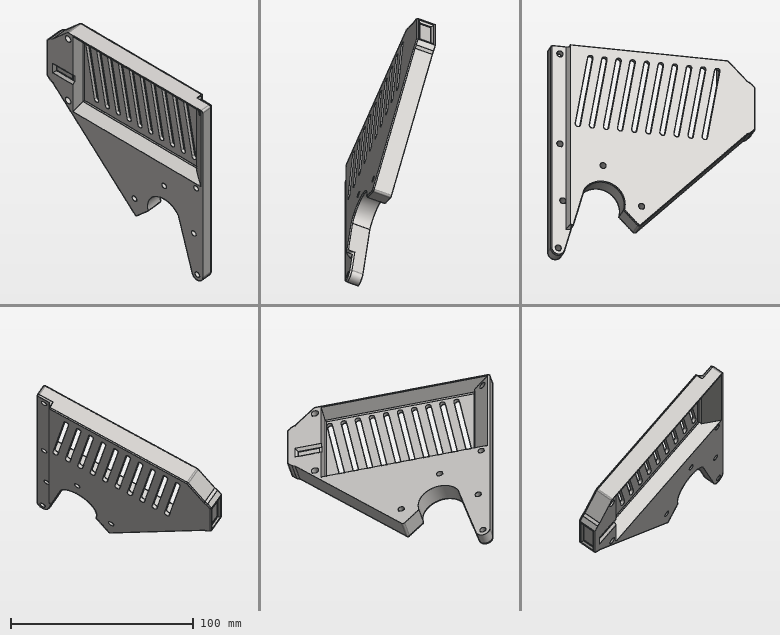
import math

import cadquery as cq


WIDTH = 114.82
HEIGHT = 124.2
THICKNESS = 11.0
X_RIGHT = 28.5
X_LEFT = X_RIGHT - WIDTH
LEG_RADIUS = 4.0
LEG_X = X_RIGHT - LEG_RADIUS
LEG_Z = -28.3
Z_TOP = LEG_Z - LEG_RADIUS + HEIGHT
CORNER_RADIUS = 1.2
FAR = 2 * HEIGHT

NOSE_Z = 65.0
NOSE_FLAT_HALF = 12.55
NOSE_BEVEL = 2.5
NOSE_STEP_X = 1.8
NOSE_STEP_Z = 0.85
NOSE_SHOULDER_X = X_LEFT + NOSE_BEVEL + NOSE_STEP_X
NOSE_BEVEL_HALF = NOSE_FLAT_HALF + NOSE_BEVEL
NOSE_SHOULDER_HALF = NOSE_BEVEL_HALF + NOSE_STEP_Z

MOUTH_RADIUS = 12.2
LEG_EDGE_OFFSET = 11.78
LUG_EDGE_RISE = 8.6
LUG_EDGE_SUM = NOSE_SHOULDER_X + NOSE_Z - NOSE_SHOULDER_HALF
LUG_TIP = ((LUG_EDGE_SUM - LUG_EDGE_RISE) / 2, (LUG_EDGE_SUM + LUG_EDGE_RISE) / 2)
TOP_CORNER = (NOSE_SHOULDER_X + Z_TOP - NOSE_Z - NOSE_SHOULDER_HALF, Z_TOP)

EDGE_INSET = 0.4
BACK_BEVEL = 0.75
THIN_THICKNESS = 7.6
THIN_BEVEL = 1.1
STEP_X = 18.4
STEP_Z = -14.95
STEP_RUN = 1.8

POCKET_X = (-67.2, 27.1)
POCKET_Z = (36.8, 91.0)
POCKET_DEPTH = 8.8
FLOOR_BEVEL = 0.75
FLOOR_BEVEL_DEPTH = 0.6
RAMP_DEPTH = 6.7
RAMP_END_X = 18.0
POCKET_BASE_X = 17.8
POCKET_DRAFT_INSET = 2.1

SLOT_COUNT = 10
SLOT_PITCH = 8.0
SLOT_WIDTH = 3.0
SLOT_HEIGHT = 40.0
SLOT_LEAN = 10.0
FIRST_SLOT_X = -61.33

HOLE_DIAMETER = 3.4
MOUTH_HOLE_OFFSET = 21.85
EDGE_HOLE_X = 23.55
EDGE_HOLE_Z = (33.6, 87.0)
INSERT_X = -70.8
INSERT_OFFSET_Z = 22.25
INSERT_FLOOR_DIAMETER = 2.7
INSERT_MOUTH_DIAMETER = 4.1
INSERT_DEPTH = 6.0

SIDE_X = (-82.2, POCKET_X[0])
SIDE_Z = (56.3, 63.0)
SIDE_BEVEL = 1.5
SIDE_FLOOR_DEPTH = 2.0
SIDE_LEDGE = 1.5

END_Y = (1.05, 9.75)
END_Z = (53.5, 76.2)
END_BEVEL = 1.05
END_FLOOR_DEPTH = 1.6


def front_plane():
    """Work plane on the front face: local x is X, local y is Z, and -Y is outward."""
    return cq.Workplane("XZ")


def shrunk(span, amount):
    """The (low, high) span with both ends moved inward."""
    low, high = span
    return low + amount, high - amount


def loft(points_a, points_b):
    """Straight-sided solid between two polygons given as 3D points."""
    wires = []
    for points in (points_a, points_b):
        wires.append(cq.Wire.makePolygon([cq.Vector(*p) for p in points], close=True))
    return cq.Workplane(cq.Solid.makeLoft(wires, True))


def rectangle(first, second):
    """Corner points of the rectangle spanning two (low, high) ranges."""
    return [(first[0], second[0]), (first[1], second[0]), (first[1], second[1]), (first[0], second[1])]


def frustum_along_y(rect_a, y_a, rect_b, y_b):
    """Solid between two X-Z rectangles, each (x span, z span), at two depths."""
    return loft(
        [(x, y_a, z) for x, z in rectangle(*rect_a)],
        [(x, y_b, z) for x, z in rectangle(*rect_b)],
    )


def frustum_along_x(rect_a, x_a, rect_b, x_b):
    """Solid between two Y-Z rectangles, each (y span, z span), at two X positions."""
    return loft(
        [(x_a, y, z) for y, z in rectangle(*rect_a)],
        [(x_b, y, z) for y, z in rectangle(*rect_b)],
    )


def outline():
    """Closed outer outline on the front face."""
    lug_run = math.sqrt(MOUTH_RADIUS**2 - LUG_EDGE_RISE**2 / 2)
    mouth_left = (
        -LUG_EDGE_RISE / 2 - lug_run / math.sqrt(2),
        LUG_EDGE_RISE / 2 - lug_run / math.sqrt(2),
    )

    leg_distance = math.hypot(LEG_X, LEG_Z)
    leg_direction = math.atan2(LEG_Z, LEG_X)
    edge_angle = leg_direction + math.acos((LEG_EDGE_OFFSET + LEG_RADIUS) / leg_distance)
    leg_tangent = (
        LEG_X - LEG_RADIUS * math.cos(edge_angle),
        LEG_Z - LEG_RADIUS * math.sin(edge_angle),
    )
    right_angle = edge_angle + math.acos(LEG_EDGE_OFFSET / MOUTH_RADIUS)
    mouth_right = (MOUTH_RADIUS * math.cos(right_angle), MOUTH_RADIUS * math.sin(right_angle))

    return (
        front_plane()
        .moveTo(X_RIGHT, LEG_Z)
        .lineTo(X_RIGHT, Z_TOP)
        .lineTo(*TOP_CORNER)
        .lineTo(NOSE_SHOULDER_X, NOSE_Z + NOSE_SHOULDER_HALF)
        .lineTo(X_LEFT + NOSE_BEVEL, NOSE_Z + NOSE_BEVEL_HALF)
        .lineTo(X_LEFT, NOSE_Z + NOSE_FLAT_HALF)
        .lineTo(X_LEFT, NOSE_Z - NOSE_FLAT_HALF)
        .lineTo(X_LEFT + NOSE_BEVEL, NOSE_Z - NOSE_BEVEL_HALF)
        .lineTo(NOSE_SHOULDER_X, NOSE_Z - NOSE_SHOULDER_HALF)
        .lineTo(*LUG_TIP)
        .lineTo(*mouth_left)
        .threePointArc((0, MOUTH_RADIUS), mouth_right)
        .lineTo(*leg_tangent)
        .threePointArc((LEG_X, LEG_Z - LEG_RADIUS), (X_RIGHT, LEG_Z))
        .close()
    )


def prism(thickness):
    """Square-edged plate with its three sharpest corners rounded."""
    body = outline().extrude(-thickness)
    near = CORNER_RADIUS / 2
    for x, z in (TOP_CORNER, (X_RIGHT, Z_TOP), LUG_TIP):
        corner = cq.selectors.BoxSelector((x - near, 0, z - near), (x + near, thickness, z + near))
        body = body.edges("|Y").edges(corner).fillet(CORNER_RADIUS)
    return body


def leaning_plate(lower, height, inset):
    """Square-edged plate `lower` carried on by `height`, its sides leaning inward by `inset`."""
    lean = math.degrees(math.atan2(inset, height))
    upper = lower.faces(">Y").wires().toPending().workplane().extrude(height, taper=lean)
    return lower.union(upper)


def stepped_plate():
    """Full-thickness area with a sloped step down to the thin right and lower margins."""
    thin_base = THIN_THICKNESS - THIN_BEVEL
    thick = leaning_plate(prism(THICKNESS - BACK_BEVEL), BACK_BEVEL, EDGE_INSET)
    thin = leaning_plate(prism(thin_base), THIN_BEVEL, EDGE_INSET)

    slope_height = THICKNESS - thin_base
    slope_inset = EDGE_INSET * slope_height / THIN_BEVEL
    leaning = leaning_plate(outline().extrude(-thin_base), slope_height, slope_inset)

    thick_area = ((-FAR, STEP_X), (STEP_Z, FAR))
    step_foot = ((-FAR, STEP_X + STEP_RUN), (STEP_Z - STEP_RUN, FAR))
    thick = thick.intersect(frustum_along_y(thick_area, 0, thick_area, THICKNESS))
    slope = leaning.intersect(frustum_along_y(step_foot, THIN_THICKNESS, thick_area, THICKNESS))
    return thin.union(thick).union(slope)


def vent_pocket():
    """Pocket with drafted upper and lower walls, a ramp on the right and a bevelled floor edge."""
    x0, x1 = POCKET_X
    wall_depth = POCKET_DEPTH - FLOOR_BEVEL_DEPTH
    base_x = (x0, POCKET_BASE_X)
    base_z = shrunk(POCKET_Z, POCKET_DRAFT_INSET)
    drafted = frustum_along_y((POCKET_X, POCKET_Z), 0, (POCKET_X, base_z), wall_depth)
    ramp_profile = [
        (x0, 0),
        (x1, 0),
        (RAMP_END_X, RAMP_DEPTH),
        (POCKET_BASE_X, wall_depth),
        (x0, wall_depth),
    ]
    ramped = cq.Workplane("XY").polyline(ramp_profile).close().extrude(Z_TOP)
    floor = (shrunk(base_x, FLOOR_BEVEL), shrunk(base_z, FLOOR_BEVEL))
    floor_bevel = frustum_along_y((base_x, base_z), wall_depth, floor, POCKET_DEPTH)
    return drafted.intersect(ramped).union(floor_bevel)


def vent_slots():
    """Row of leaning round-ended slots through the pocket floor."""
    centres = [(FIRST_SLOT_X + i * SLOT_PITCH, NOSE_Z) for i in range(SLOT_COUNT)]
    length = SLOT_HEIGHT / math.cos(math.radians(SLOT_LEAN)) + SLOT_WIDTH
    slots = front_plane().pushPoints(centres).slot2D(length, SLOT_WIDTH, 90 + SLOT_LEAN)
    return slots.extrude(-THICKNESS)


def screw_holes():
    """Through holes: three around the mouth, one in the leg end and two near the right edge."""
    centres = [(-MOUTH_HOLE_OFFSET, 0), (MOUTH_HOLE_OFFSET, 0), (0, MOUTH_HOLE_OFFSET), (LEG_X, LEG_Z)]
    centres += [(EDGE_HOLE_X, z) for z in EDGE_HOLE_Z]
    return front_plane().pushPoints(centres).circle(HOLE_DIAMETER / 2).extrude(-THICKNESS)


def insert_hole(z):
    """Blind hole tapering from its mouth to its floor."""
    mouth = cq.Vector(INSERT_X, 0, z)
    into_plate = cq.Vector(0, 1, 0)
    return cq.Solid.makeCone(
        INSERT_MOUTH_DIAMETER / 2, INSERT_FLOOR_DIAMETER / 2, INSERT_DEPTH, mouth, into_plate
    )


def side_pocket():
    """Bevelled pocket running into the vent pocket, its floor sunk deeper up to a ledge."""
    x0, x1 = SIDE_X
    inner_z = shrunk(SIDE_Z, SIDE_BEVEL)
    bevel_end = ((x0 + SIDE_BEVEL, x1), inner_z)
    floor = ((x0 + SIDE_BEVEL, x1 - SIDE_LEDGE), inner_z)
    bevelled = frustum_along_y((SIDE_X, SIDE_Z), 0, bevel_end, SIDE_BEVEL)
    return bevelled.union(frustum_along_y(floor, 0, floor, SIDE_FLOOR_DEPTH))


def end_recess():
    """Bevelled recess sunk from the left end face along +X."""
    inner = (shrunk(END_Y, END_BEVEL), shrunk(END_Z, END_BEVEL))
    bevelled = frustum_along_x((END_Y, END_Z), X_LEFT, inner, X_LEFT + END_BEVEL)
    return bevelled.union(frustum_along_x(inner, X_LEFT, inner, X_LEFT + END_FLOOR_DEPTH))


result = stepped_plate().cut(vent_pocket()).cut(vent_slots()).cut(screw_holes())
result = result.cut(side_pocket()).cut(end_recess())
for side in (-1, 1):
    result = result.cut(insert_hole(NOSE_Z + side * INSERT_OFFSET_Z))
result = cq.Workplane(result.solids().val())